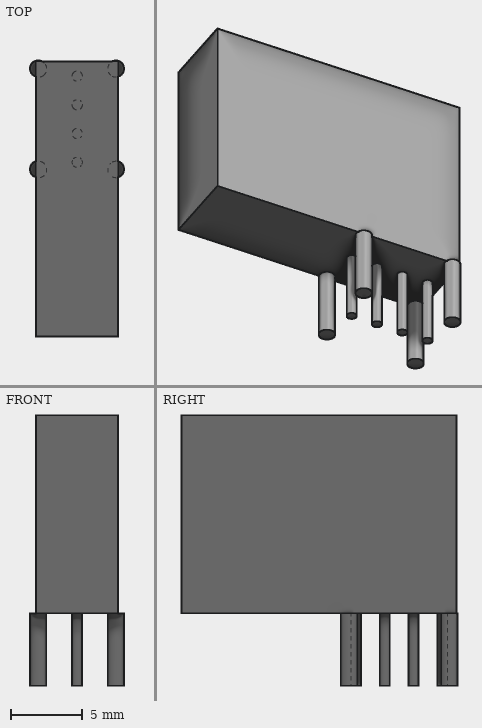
import cadquery as cq

overall_width = 6.55
overall_length = 19.23
overall_height = 18.85

housing_width = 5.73
housing_length = 19.15
pin_length = 5.05
housing_height = overall_height - pin_length

thick_diameter = 1.15
thick_pitch = 7.0
thick_x = (overall_width - thick_diameter) / 2
thick_back_y = (overall_length - thick_diameter) / 2
thick_front_y = thick_back_y - thick_pitch

thin_diameter = 0.71
thin_count = 4
thin_pitch = 2.0
row_middle_y = (thick_back_y + thick_front_y) / 2


def make_housing():
    """Plain block resting on the pin tops, flush with the -Y end of the envelope."""
    block = cq.Workplane("XY").box(
        housing_width, housing_length, housing_height, centered=(True, False, False)
    )
    return block.translate((0, -overall_length / 2, pin_length))


def make_pin(diameter, x, y):
    """Upright round pin from Z = 0 to the housing underside."""
    return cq.Workplane("XY").center(x, y).circle(diameter / 2).extrude(pin_length)


housing = make_housing()

thick_pins = []
for x in (-thick_x, thick_x):
    for y in (thick_front_y, thick_back_y):
        thick_pins.append(make_pin(thick_diameter, x, y).val())

thin_pins = []
for index in range(thin_count):
    y = row_middle_y + (index - (thin_count - 1) / 2) * thin_pitch
    thin_pins.append(make_pin(thin_diameter, 0, y).val())

result = cq.Compound.makeCompound([housing.val(), *thick_pins, *thin_pins])